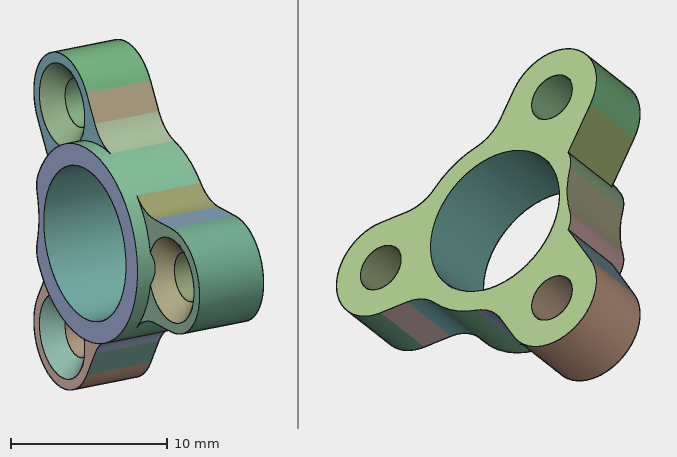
import cadquery as cq
import math

height = 22.6
ring_depth = 5.8
arm_depth = 4.8

ring_radius = 6.5
bore_radius = 5.08

lug_radius = 3.5
hole_radius = 1.6
sink_radius = 2.8
sink_depth = 1.2
neck_fillet = 3.0
arm_spacing = 120
arm_reach = (height / 2 - lug_radius) / math.sin(math.radians(arm_spacing))

scallop_radius = 6.5
scallop_floor = 5.7
scallop_fillet = 1.8


def make_ring():
    """Ring disc, without its bore, with the rounded scallop cut in its -X side."""
    disc = cq.Workplane("XZ").circle(ring_radius).extrude(ring_depth)
    scallop = (
        cq.Workplane("XZ")
        .center(-scallop_floor - scallop_radius, 0)
        .circle(scallop_radius)
        .extrude(ring_depth)
    )
    corners = cq.selectors.BoxSelector(
        (-ring_radius, -ring_depth, -ring_radius), (-bore_radius, 0, ring_radius)
    )
    return disc.cut(scallop).edges("|Y").edges(corners).fillet(scallop_fillet)


def make_neck_web():
    """Web along the upper side of an arm, blending its flat side into the ring."""
    centre_distance = ring_radius + neck_fillet
    centre_z = lug_radius + neck_fillet
    centre_x = math.sqrt(centre_distance**2 - centre_z**2)
    ring_share = ring_radius / centre_distance
    ring_end = (centre_x * ring_share, centre_z * ring_share)
    mid_angle = (math.atan2(-centre_z, -centre_x) - math.pi / 2) / 2
    fillet_mid = (
        centre_x + neck_fillet * math.cos(mid_angle),
        centre_z + neck_fillet * math.sin(mid_angle),
    )
    return (
        cq.Workplane("XZ")
        .moveTo(*ring_end)
        .threePointArc(fillet_mid, (centre_x, lug_radius))
        .lineTo(centre_x, 0)
        .lineTo(ring_end[0], 0)
        .close()
        .extrude(arm_depth)
    )


def make_arm(web_above, web_below):
    """Arm along +X with a countersunk hole, open from the front face."""
    root_x = ring_radius / 2
    arm = (
        cq.Workplane("XZ")
        .moveTo(root_x, lug_radius)
        .lineTo(arm_reach, lug_radius)
        .threePointArc((arm_reach + lug_radius, 0), (arm_reach, -lug_radius))
        .lineTo(root_x, -lug_radius)
        .close()
        .extrude(arm_depth)
    )
    web = make_neck_web()
    if web_above:
        arm = arm.union(web)
    if web_below:
        arm = arm.union(web.mirror("XY"))

    hole = cq.Workplane("XZ").center(arm_reach, 0).circle(hole_radius).extrude(arm_depth)
    countersink = cq.Workplane(
        cq.Solid.makeCone(
            sink_radius,
            hole_radius,
            sink_depth,
            pnt=cq.Vector(arm_reach, -arm_depth, 0),
            dir=cq.Vector(0, 1, 0),
        )
    )
    return arm.cut(hole).cut(countersink)


right_arm = make_arm(web_above=True, web_below=True)
upper_arm = make_arm(web_above=False, web_below=True).rotate((0, 0, 0), (0, 1, 0), -arm_spacing)
lower_arm = upper_arm.mirror("XY")

bore = cq.Workplane("XZ").circle(bore_radius).extrude(ring_depth)
result = make_ring().union(right_arm).union(upper_arm).union(lower_arm).cut(bore)